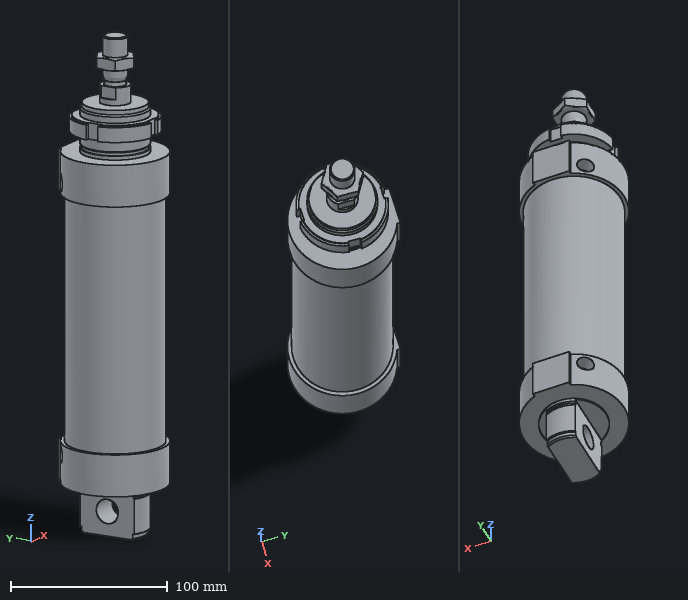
import cadquery as cq
import math

TOTAL_HEIGHT = 329.2
END_CAP_BOTTOM = 33.2
CAP_HEIGHT = 27.5
HEAD_CAP_TOP = 252.5
NECK_TOP = 285.0
HEAD_CAP_BOTTOM = HEAD_CAP_TOP - CAP_HEIGHT
END_CAP_TOP = END_CAP_BOTTOM + CAP_HEIGHT

CAP_DIAMETER = 70.0
TUBE_DIAMETER = 65.0
THREAD_DIAMETER = 45.0
RELIEF_DIAMETER = 43.5
RELIEF_BEVEL = (THREAD_DIAMETER - RELIEF_DIAMETER) / 2
THREAD_TIP_DIAMETER = 42.8
THREAD_TIP_LENGTH = 3.0
THREAD_BEVEL = (THREAD_DIAMETER - THREAD_TIP_DIAMETER) / 2
NECK_COLLAR_LENGTH = 2.5
NECK_RELIEF_WIDTH = 2.0
BOSS_WIDTH = 25.5
SPIGOT_LENGTH = 1.0
EYE_THICKNESS = 20.0
EYE_HOLE_DIAMETER = 16.0
EYE_HOLE_HEIGHT = 16.5
EYE_STEP_HEIGHT = 4.0
EYE_RELIEF_BOTTOM = 27.3
EYE_RELIEF_WIDTH = 3.3
EYE_END_CHAMFER = 1.0
SCREW_HOLE_DIAMETER = 11.2
SCREW_HOLE_DEPTH = 10.0
SCREW_HOLE_INSET = 8.0
SCREW_HOLE_ANGLE = 53.0

ROD_DIAMETER = 20.0
ROD_TOP = 297.0
ROD_FLATS_WIDTH = 17.0
ROD_FLATS_BOTTOM = 289.0
ROD_THREAD_DIAMETER = 16.0
ROD_THREAD_BOTTOM = 303.0
ROD_THREAD_BEVEL_BOTTOM = 300.0
ROD_THREAD_ROOT_DIAMETER = 14.5
ROD_UNDERCUT_DIAMETER = 13.8
ROD_UNDERCUT_BOTTOM = 298.3
ROD_TIP_CHAMFER = 0.82

ROD_NUT_BOTTOM = 308.5
ROD_NUT_HEIGHT = 8.0
ROD_NUT_ACROSS_FLATS = 24.0
ROD_NUT_ACROSS_CORNERS = ROD_NUT_ACROSS_FLATS / math.cos(math.pi / 6)
ROD_NUT_FACE_DIAMETER = 23.5
ROD_NUT_CHAMFER = 0.5

RING_NUT_BOTTOM = 266.0
RING_NUT_HEIGHT = 11.0
RING_NUT_DIAMETER = 59.0
RING_NUT_FACE_DIAMETER = 55.5
RING_NUT_STEP_HEIGHT = 1.0
RING_SLOT_COUNT = 4
RING_SLOT_WIDTH = 8.2
RING_SLOT_FLOOR_RADIUS = 26.7


def cylinder(diameter, bottom, height):
    """Upright cylinder on the part axis."""
    return cq.Workplane("XY").workplane(offset=bottom).circle(diameter / 2).extrude(height)


def turned(steps):
    """Solid of revolution about Z from (diameter, height) pairs listed upward."""
    bottom = steps[0][1]
    top = steps[-1][1]
    outline = [(0, bottom)] + [(diameter / 2, z) for diameter, z in steps] + [(0, top)]
    return cq.Workplane("XZ").polyline(outline).close().revolve(360, (0, 0, 0), (0, 1, 0))


def make_cap(bottom):
    """Round cap with a flat port boss flush with its +Y side."""
    boss = (
        cq.Workplane("XY")
        .workplane(offset=bottom)
        .center(0, CAP_DIAMETER / 4)
        .rect(BOSS_WIDTH, CAP_DIAMETER / 2)
        .extrude(CAP_HEIGHT)
    )
    return cylinder(CAP_DIAMETER, bottom, CAP_HEIGHT).union(boss)


def make_screw_hole(height):
    """Cutter for a blind radial hole entering a cap between -X and +Y."""
    angle = math.radians(SCREW_HOLE_ANGLE)
    outward = cq.Vector(-math.cos(angle), math.sin(angle), 0)
    floor = outward * (CAP_DIAMETER / 2 - SCREW_HOLE_DEPTH) + cq.Vector(0, 0, height)
    cutter = cq.Solid.makeCylinder(SCREW_HOLE_DIAMETER / 2, 2 * SCREW_HOLE_DEPTH, floor, outward)
    return cq.Workplane(obj=cutter)


def make_neck():
    """Threaded neck with a relief at its foot and a turned-down tip."""
    relief_bottom = HEAD_CAP_TOP + NECK_COLLAR_LENGTH
    relief_top = relief_bottom + NECK_RELIEF_WIDTH
    tip_bottom = NECK_TOP - THREAD_TIP_LENGTH
    return turned([
        (THREAD_DIAMETER, HEAD_CAP_TOP),
        (THREAD_DIAMETER, relief_bottom),
        (RELIEF_DIAMETER, relief_bottom),
        (RELIEF_DIAMETER, relief_top),
        (THREAD_DIAMETER, relief_top + RELIEF_BEVEL),
        (THREAD_DIAMETER, tip_bottom - THREAD_BEVEL),
        (THREAD_TIP_DIAMETER, tip_bottom),
        (THREAD_TIP_DIAMETER, NECK_TOP),
    ])


def make_eye():
    """Turned spigot flattened to a tongue with a cross hole along X."""
    relief_top = EYE_RELIEF_BOTTOM + EYE_RELIEF_WIDTH
    spigot_bottom = END_CAP_BOTTOM - SPIGOT_LENGTH
    blank = turned([
        (THREAD_TIP_DIAMETER - 2 * EYE_END_CHAMFER, 0),
        (THREAD_TIP_DIAMETER, EYE_END_CHAMFER),
        (THREAD_TIP_DIAMETER, EYE_STEP_HEIGHT),
        (THREAD_DIAMETER, EYE_STEP_HEIGHT),
        (THREAD_DIAMETER, EYE_RELIEF_BOTTOM),
        (RELIEF_DIAMETER, EYE_RELIEF_BOTTOM + RELIEF_BEVEL),
        (RELIEF_DIAMETER, relief_top - RELIEF_BEVEL),
        (THREAD_DIAMETER, relief_top),
        (THREAD_DIAMETER, spigot_bottom),
    ])
    tongue = cq.Workplane("XY").rect(EYE_THICKNESS, THREAD_DIAMETER).extrude(spigot_bottom)
    cross_hole = (
        cq.Workplane("YZ")
        .center(0, EYE_HOLE_HEIGHT)
        .circle(EYE_HOLE_DIAMETER / 2)
        .extrude(EYE_THICKNESS, both=True)
    )
    spigot = cylinder(THREAD_DIAMETER, spigot_bottom, SPIGOT_LENGTH)
    return blank.intersect(tongue).cut(cross_hole).union(spigot)


def make_housing():
    """Tube with both caps, the threaded neck and the mounting eye."""
    housing = cylinder(TUBE_DIAMETER, END_CAP_BOTTOM, HEAD_CAP_TOP - END_CAP_BOTTOM)
    for cap_bottom in (END_CAP_BOTTOM, HEAD_CAP_BOTTOM):
        housing = housing.union(make_cap(cap_bottom))
    housing = housing.union(make_neck()).union(make_eye())
    for hole_height in (END_CAP_TOP - SCREW_HOLE_INSET, HEAD_CAP_BOTTOM + SCREW_HOLE_INSET):
        housing = housing.cut(make_screw_hole(hole_height))
    rod_bore = cylinder(ROD_DIAMETER, HEAD_CAP_BOTTOM, NECK_TOP - HEAD_CAP_BOTTOM)
    return housing.cut(rod_bore)


def make_rod():
    """Piston rod with wrench flats, an undercut and a threaded end."""
    shank = cylinder(ROD_DIAMETER, HEAD_CAP_BOTTOM, ROD_TOP - HEAD_CAP_BOTTOM)
    flats_height = ROD_TOP - ROD_FLATS_BOTTOM
    flats_blank = cylinder(ROD_DIAMETER, ROD_FLATS_BOTTOM, flats_height)
    between_flats = (
        cq.Workplane("XY")
        .workplane(offset=ROD_FLATS_BOTTOM)
        .rect(ROD_FLATS_WIDTH, ROD_DIAMETER)
        .extrude(flats_height)
    )
    shank = shank.cut(flats_blank.cut(between_flats))
    threaded_end = turned([
        (ROD_THREAD_ROOT_DIAMETER, ROD_TOP),
        (ROD_UNDERCUT_DIAMETER, ROD_UNDERCUT_BOTTOM),
        (ROD_UNDERCUT_DIAMETER, ROD_THREAD_BEVEL_BOTTOM),
        (ROD_THREAD_ROOT_DIAMETER, ROD_THREAD_BEVEL_BOTTOM),
        (ROD_THREAD_DIAMETER, ROD_THREAD_BOTTOM),
        (ROD_THREAD_DIAMETER, TOTAL_HEIGHT - ROD_TIP_CHAMFER),
        (ROD_THREAD_DIAMETER - 2 * ROD_TIP_CHAMFER, TOTAL_HEIGHT),
    ])
    return shank.union(threaded_end)


def make_rod_nut():
    """Hexagonal nut with corners on Y, bevelled at both faces."""
    nut_top = ROD_NUT_BOTTOM + ROD_NUT_HEIGHT
    hexagon = (
        cq.Workplane("XY")
        .workplane(offset=ROD_NUT_BOTTOM)
        .polygon(6, ROD_NUT_ACROSS_CORNERS)
        .extrude(ROD_NUT_HEIGHT)
        .rotate((0, 0, 0), (0, 0, 1), 90)
    )
    bevel = turned([
        (ROD_NUT_FACE_DIAMETER, ROD_NUT_BOTTOM),
        (ROD_NUT_ACROSS_CORNERS, ROD_NUT_BOTTOM + ROD_NUT_CHAMFER),
        (ROD_NUT_ACROSS_CORNERS, nut_top - ROD_NUT_CHAMFER),
        (ROD_NUT_FACE_DIAMETER, nut_top),
    ])
    thread_hole = cylinder(ROD_THREAD_DIAMETER, ROD_NUT_BOTTOM, ROD_NUT_HEIGHT)
    return hexagon.intersect(bevel).cut(thread_hole)


def make_ring_nut():
    """Round nut with a stepped top face and spanner slots around its rim."""
    nut_top = RING_NUT_BOTTOM + RING_NUT_HEIGHT
    step = nut_top - RING_NUT_STEP_HEIGHT
    ring_nut = turned([
        (RING_NUT_DIAMETER, RING_NUT_BOTTOM),
        (RING_NUT_DIAMETER, step),
        (RING_NUT_FACE_DIAMETER, step),
        (RING_NUT_FACE_DIAMETER, nut_top),
    ])
    slot = (
        cq.Workplane("XY")
        .workplane(offset=RING_NUT_BOTTOM)
        .center(RING_SLOT_FLOOR_RADIUS + RING_NUT_DIAMETER / 2, 0)
        .rect(RING_NUT_DIAMETER, RING_SLOT_WIDTH)
        .extrude(RING_NUT_HEIGHT)
    )
    for index in range(RING_SLOT_COUNT):
        turn = index * 360 / RING_SLOT_COUNT
        ring_nut = ring_nut.cut(slot.rotate((0, 0, 0), (0, 0, 1), turn))
    return ring_nut.cut(cylinder(THREAD_DIAMETER, RING_NUT_BOTTOM, RING_NUT_HEIGHT))


housing = make_housing()
rod = make_rod()
rod_nut = make_rod_nut()
ring_nut = make_ring_nut()

result = cq.Compound.makeCompound([housing.val(), rod.val(), rod_nut.val(), ring_nut.val()])